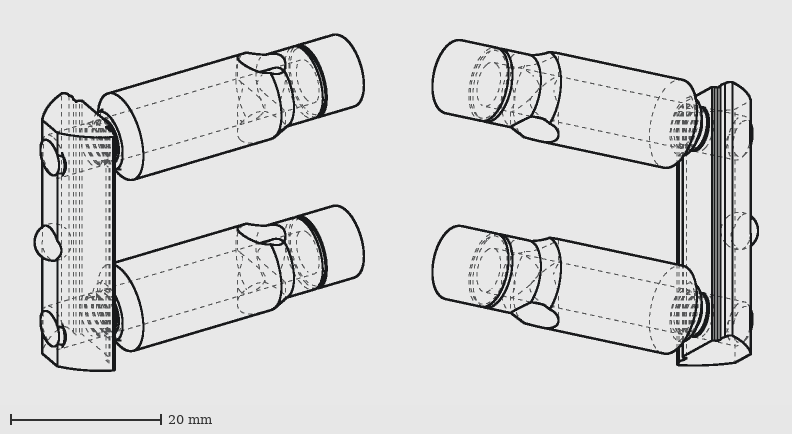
import cadquery as cq


overall_length = 47.85

nut_length = 36.0
nut_width = 13.5
nut_depth = 7.2
front_flat_width = 4.0
tongue_width = 7.85
tongue_height = 0.75
tongue_chamfer = 0.25
wing_y = nut_depth - tongue_height
wing_tip_y = 5.85
wing_round = 0.6
flank_mid_x = 5.0
flank_mid_y = 2.85
rib_inner_x = 4.7
rib_outer_x = 5.8
rib_height = 0.15

ball_radius = 2.5
ball_protrusion = 1.95

bolt_spacing = 26.4
bolt_end_y = overall_length - ball_protrusion
bolt_radius = 6.0 / 2
tip_chamfer = 0.55
head_radius = 10.0 / 2
head_length = 6.0
head_round = 0.55
thread_pitch = 1.0
thread_depth = 0.55
crest_flat = 0.1
visible_grooves = 3

sleeve_radius = 12.0 / 2
sleeve_front_y = 8.95
sleeve_back_y = bolt_end_y - head_length
nose_length = 2.0
cone_front_y = 32.3
cone_back_y = 34.85
rear_chamfer_length = 0.6
rear_chamfer_depth = 0.4
cross_hole_radius = 3.2
cross_hole_y = 32.75


def revolve_about_y(profile):
    """Turn a closed (radius, Y) profile fully about the Y axis."""
    return profile.close().revolve(360, (0, 0, 0), (0, 1, 0))


def make_bolt_blank():
    """Bolt without its thread grooves: chamfered tip, shank and round-edged head."""
    profile = (
        cq.Workplane("XY")
        .lineTo(bolt_radius - tip_chamfer, 0)
        .lineTo(bolt_radius, tip_chamfer)
        .lineTo(bolt_radius, sleeve_back_y)
        .lineTo(head_radius, sleeve_back_y)
        .lineTo(head_radius, bolt_end_y - head_round)
        .radiusArc((head_radius - head_round, bolt_end_y), -head_round)
        .lineTo(0, bolt_end_y)
    )
    return revolve_about_y(profile)


def make_thread_groove(groove_y):
    """V-shaped ring that cuts one thread groove centred on groove_y."""
    half_width = (thread_pitch - crest_flat) / 2
    profile = (
        cq.Workplane("XY")
        .moveTo(bolt_radius - thread_depth, groove_y)
        .lineTo(bolt_radius, groove_y - half_width)
        .lineTo(bolt_radius, groove_y + half_width)
    )
    return revolve_about_y(profile)


def make_bolt():
    """Bolt with ring grooves for the thread between the sleeve and the nut."""
    bolt = make_bolt_blank()
    for turn in range(visible_grooves):
        bolt = bolt.cut(make_thread_groove(sleeve_front_y - turn * thread_pitch))
    return bolt


def make_sleeve():
    """Stepped sleeve around the shank, with a cross hole along Z."""
    shoulder_y = sleeve_front_y + nose_length
    profile = (
        cq.Workplane("XY")
        .moveTo(bolt_radius, sleeve_front_y)
        .lineTo(sleeve_radius - nose_length, sleeve_front_y)
        .radiusArc((sleeve_radius, shoulder_y), nose_length)
        .lineTo(sleeve_radius, cone_front_y)
        .lineTo(head_radius, cone_back_y)
        .lineTo(head_radius, sleeve_back_y - rear_chamfer_length)
        .lineTo(head_radius - rear_chamfer_depth, sleeve_back_y)
        .lineTo(bolt_radius, sleeve_back_y)
    )
    cross_hole = (
        cq.Workplane("XY")
        .center(0, cross_hole_y)
        .circle(cross_hole_radius)
        .extrude(sleeve_radius, both=True)
    )
    return revolve_about_y(profile).cut(cross_hole)


def make_ball():
    """Locating ball in the middle of the nut's front face."""
    return cq.Workplane("XY").sphere(ball_radius).translate((0, ball_radius - ball_protrusion, 0))


def make_nut_bar():
    """Solid nut: arched flanks, rounded ribbed wings and a chamfered tongue on the back."""
    half_width = nut_width / 2
    rib_mid_x = (rib_inner_x + rib_outer_x) / 2
    half_outline = (
        cq.Workplane("XY")
        .lineTo(front_flat_width / 2, 0)
        .threePointArc((flank_mid_x, flank_mid_y), (half_width, wing_tip_y))
        .radiusArc((half_width - wing_round, wing_y), -wing_round)
        .lineTo(rib_outer_x, wing_y)
        .threePointArc((rib_mid_x, wing_y + rib_height), (rib_inner_x, wing_y))
        .lineTo(tongue_width / 2, wing_y)
        .lineTo(tongue_width / 2, nut_depth - tongue_chamfer)
        .lineTo(tongue_width / 2 - tongue_chamfer, nut_depth)
        .lineTo(0, nut_depth)
        .close()
    )
    half_bar = half_outline.extrude(nut_length / 2, both=True)
    return half_bar.union(half_bar.mirror("YZ"))


def make_nut():
    """Nut with bolt holes that follow the bolt tips, and a round seat for the ball."""
    nut = make_nut_bar().cut(make_ball())
    for z in bolt_z_positions:
        nut = nut.cut(make_bolt_blank().translate((0, 0, z)))
    return nut


bolt_z_positions = [-bolt_spacing / 2, bolt_spacing / 2]
nut = make_nut()
ball = make_ball()
bolts = [make_bolt().translate((0, 0, z)) for z in bolt_z_positions]
sleeves = [make_sleeve().translate((0, 0, z)) for z in bolt_z_positions]

bodies = [nut, ball, *bolts, *sleeves]
result = cq.Compound.makeCompound([body.solids().val() for body in bodies])